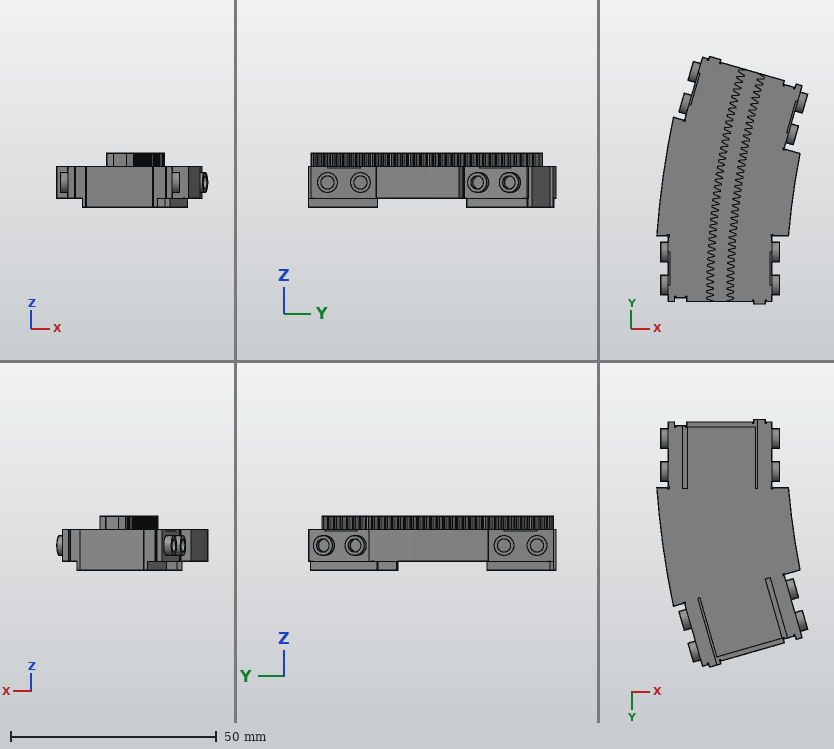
import cadquery as cq
import math

pitch_radius = 202.75
bend_angle = 16.0

pad_height = 2.15
deck_height = 7.8
rack_height = 3.25
deck_top = pad_height + deck_height

deck_half_width = 15.95
neck_half_width = 12.6
neck_length = 15.95
neck_relief_side = 0.4

pad_half_width = 9.15
pad_length = 16.2
pad_wall = 1.25
pad_tongue_wall = 0.55

joint_offset = 9.6
tongue_width = 2.9
tongue_reach = 0.65
groove_width = 2.95
groove_depth = 0.9
joint_relief_width = 0.25
joint_relief_depth = 0.35

stud_diameter = 4.8
stud_bore = 3.2
stud_length = 1.85
stud_pitch = 8.0
first_stud_y = stud_pitch / 2
stud_z = pad_height + deck_height / 2
slot_depth = 0.5
slot_height = 0.4

tooth_count = 36
tip_offset = 3.25
root_offset = 1.6
tip_flat = 0.25
root_flat = 0.15
rack_setback = 0.05


def polar(offset, angle):
    """Point at a distance outside the pitch arc, at an angle in degrees along the bend."""
    radius = pitch_radius + offset
    turn = math.radians(angle)
    return (pitch_radius - radius * math.cos(turn), radius * math.sin(turn))


def block(x_min, x_max, y_min, y_max, z_min, z_max):
    size = (x_max - x_min, y_max - y_min, z_max - z_min)
    return cq.Workplane("XY").box(*size, centered=False).translate((x_min, y_min, z_min))


def at_both_ends(front):
    """The front-end shape together with its half-turned copy at the far end of the bend."""
    half_turned = front.rotate((0, 0, 0), (0, 0, 1), 180)
    rear = half_turned.rotate((pitch_radius, 0, 0), (pitch_radius, 0, 1), -bend_angle)
    return [front, rear]


def make_deck():
    half = deck_half_width
    return (
        cq.Workplane("XY", origin=(0, 0, pad_height))
        .moveTo(*polar(half, 0))
        .threePointArc(polar(half, bend_angle / 2), polar(half, bend_angle))
        .lineTo(*polar(-half, bend_angle))
        .threePointArc(polar(-half, bend_angle / 2), polar(-half, 0))
        .close()
        .extrude(deck_height)
    )


def make_neck_cut(side):
    """Space beside one end of the deck, with a small relief in its inner corner."""
    clearance = 2 * deck_half_width
    inner, outer = sorted((side * neck_half_width, side * clearance))
    cut = block(inner, outer, -clearance, neck_length, pad_height, deck_top)
    reach = neck_relief_side / 2
    corner_x = side * neck_half_width
    relief = block(
        corner_x - reach, corner_x + reach, neck_length - reach, neck_length + reach, pad_height, deck_top
    )
    return cut.union(relief)


def make_pad():
    outside = block(-pad_half_width, pad_half_width, 0, pad_length, 0, pad_height)
    x_min = -pad_half_width + pad_wall
    x_max = pad_half_width - pad_tongue_wall
    hollow = block(x_min, x_max, pad_wall, pad_length, 0, pad_height)
    return outside.cut(hollow)


def make_tongue():
    x_min = joint_offset - tongue_width / 2
    x_max = joint_offset + tongue_width / 2
    upper = block(x_min, x_max, -tongue_reach, 0, pad_height, deck_top)
    lower = block(x_min, pad_half_width, -tongue_reach, 0, 0, pad_height)
    return upper.union(lower)


def make_joint_cut():
    """Groove with relieved corners, and the reliefs at the foot of the tongue."""
    half_groove = groove_width / 2
    half_tongue = tongue_width / 2
    cut = block(-joint_offset - half_groove, -joint_offset + half_groove, 0, groove_depth, 0, deck_top)
    relief_spots = (
        (-joint_offset - half_groove, groove_depth),
        (-joint_offset + half_groove - joint_relief_width, groove_depth),
        (joint_offset - half_tongue - joint_relief_width, 0),
        (joint_offset + half_tongue, 0),
    )
    for x, y in relief_spots:
        relief = block(x, x + joint_relief_width, y, y + joint_relief_depth, 0, deck_top)
        cut = cut.union(relief)
    return cut


def make_slot(side):
    inner, outer = sorted((side * (neck_half_width - slot_depth), side * neck_half_width))
    return block(inner, outer, first_stud_y, first_stud_y + stud_pitch, deck_top - slot_height, deck_top)


def make_stud(side, y):
    return (
        cq.Workplane("YZ", origin=(side * neck_half_width, 0, 0))
        .center(y, stud_z)
        .circle(stud_diameter / 2)
        .circle(stud_bore / 2)
        .extrude(side * stud_length)
    )


def tooth_edge(root, tip):
    """Points along one toothed edge of the rack, starting and ending in the middle of a root."""
    step = bend_angle / tooth_count
    end_gap = math.degrees(rack_setback / pitch_radius)
    points = [polar(root, end_gap)]
    for tooth in range(tooth_count):
        middle = (tooth + 0.5) * step
        points.append(polar(root, middle - step * (1 - root_flat) / 2))
        points.append(polar(tip, middle - step * tip_flat / 2))
        points.append(polar(tip, middle + step * tip_flat / 2))
        points.append(polar(root, middle + step * (1 - root_flat) / 2))
    points.append(polar(root, bend_angle - end_gap))
    return points


def make_rack():
    outer_edge = tooth_edge(root_offset, tip_offset)
    inner_edge = tooth_edge(-root_offset, -tip_offset)
    outline = outer_edge + inner_edge[::-1]
    return cq.Workplane("XY", origin=(0, 0, deck_top)).polyline(outline).close().extrude(rack_height)


additions = at_both_ends(make_pad()) + at_both_ends(make_tongue())
cuts = at_both_ends(make_joint_cut())
studs = []
neck_cuts = []
for side in (-1, 1):
    neck_cuts += at_both_ends(make_neck_cut(side))
    cuts += at_both_ends(make_slot(side))
    for y in (first_stud_y, first_stud_y + stud_pitch):
        studs += at_both_ends(make_stud(side, y))

result = make_deck()
for shape in neck_cuts:
    result = result.cut(shape)
for shape in additions:
    result = result.union(shape)
for shape in cuts:
    result = result.cut(shape)
for shape in studs:
    result = result.union(shape)
result = result.union(make_rack())